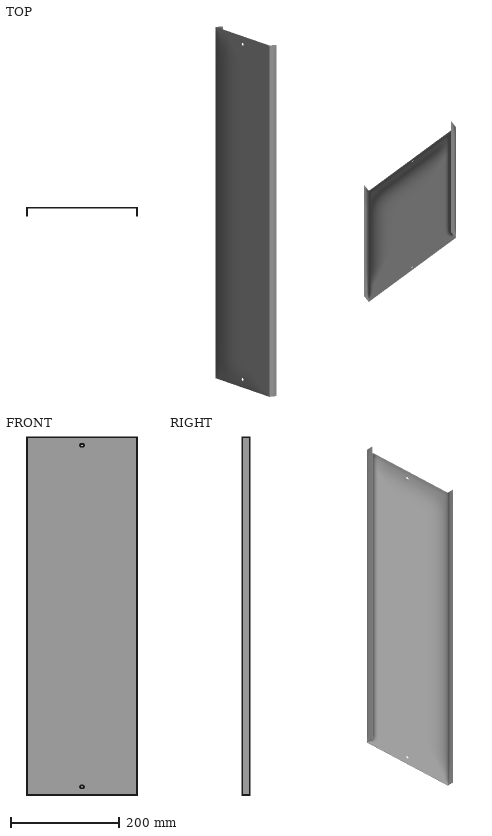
import cadquery as cq

width = 203.0
flange_depth = 14.5
height = 660.0
sheet = 0.6

slot_length = 6.5
slot_width = 5.0
slot_edge_distance = 15.0


def folded_panel():
    """Flat web at the back with a flange folded forward along each side."""
    body = cq.Workplane("XY").box(width, flange_depth, height)
    channel = (
        cq.Workplane("XY")
        .box(width - 2 * sheet, flange_depth - sheet, height)
        .translate((0, -sheet / 2, 0))
    )
    return body.cut(channel)


def mounting_slots():
    """Two horizontal slot cutters through the web, on its vertical centreline."""
    offset = height / 2 - slot_edge_distance
    return (
        cq.Workplane("XZ")
        .pushPoints([(0, -offset), (0, offset)])
        .slot2D(slot_length, slot_width)
        .extrude(flange_depth, both=True)
    )


result = folded_panel().cut(mounting_slots())